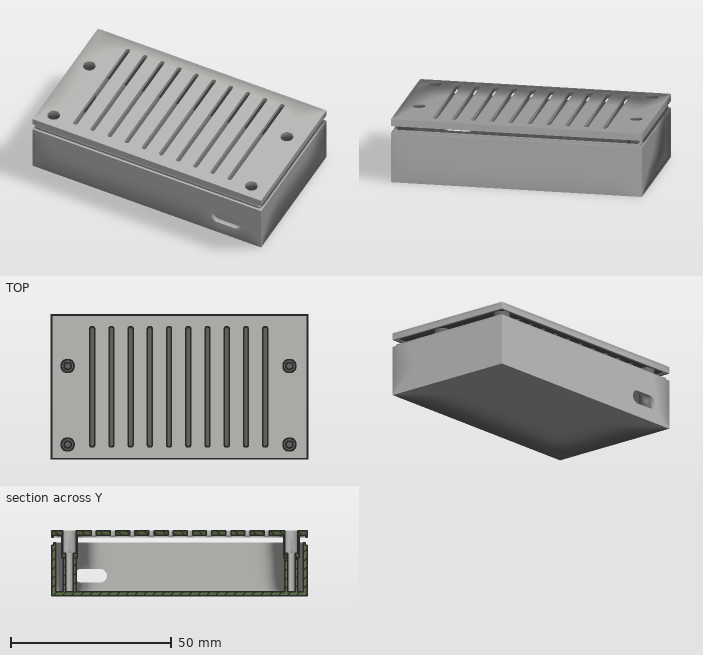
import cadquery as cq

LENGTH = 80.0
WIDTH = 45.0
TOTAL_HEIGHT = 20.5

WALL = 1.5
FLOOR = 1.5
BASE_HEIGHT = 16.0
LIP_HEIGHT = WALL / 2
LIP_INSET = WALL / 2

PORT_LENGTH = 10.2
PORT_HEIGHT = 4.2
PORT_X = 67.75
PORT_Z = 6.4

PLATE_THICKNESS = 1.5
LID_RIM_HEIGHT = LIP_HEIGHT
LID_THICKNESS = PLATE_THICKNESS + LID_RIM_HEIGHT
LID_BOTTOM = TOTAL_HEIGHT - LID_THICKNESS

SCREW_DIAMETER = 2.2
STAND_DIAMETER = 4.2
STAND_TOP = 12.0
POST_DIAMETER = 1.2 * STAND_DIAMETER
HEAD_DIAMETER = 4.0
HEAD_SEAT_THICKNESS = 1.5
POST_X = 5.1
POST_Y = 4.5
POST_SPACING_X = 69.2
POST_SPACING_Y = 24.5
POST_CENTRES = [
    (POST_X + column * POST_SPACING_X, POST_Y + row * POST_SPACING_Y)
    for column in range(2)
    for row in range(2)
]

VENT_COUNT = 10
VENT_PITCH = 6.0
VENT_WIDTH = 1.5
VENT_END_MARGIN = 3.75
VENT_LENGTH = WIDTH - 2 * VENT_END_MARGIN
VENT_FIRST_EDGE_X = 12.0


def inset_block(inset, bottom, top):
    """Block following the enclosure outline, moved inward by inset, from bottom to top."""
    return (
        cq.Workplane("XY", origin=(inset, inset, bottom))
        .rect(LENGTH - 2 * inset, WIDTH - 2 * inset, centered=False)
        .extrude(top - bottom)
    )


def post_cylinders(diameter, bottom, top):
    """One vertical cylinder at every screw position."""
    return (
        cq.Workplane("XY", origin=(0, 0, bottom))
        .pushPoints(POST_CENTRES)
        .circle(diameter / 2)
        .extrude(top - bottom)
    )


def make_base():
    lip_top = BASE_HEIGHT + LIP_HEIGHT
    tray = inset_block(0, 0, BASE_HEIGHT).union(inset_block(LIP_INSET, BASE_HEIGHT, lip_top))
    cavity = inset_block(WALL, FLOOR, lip_top)
    port = (
        cq.Workplane("XZ", origin=(PORT_X, 0, PORT_Z))
        .slot2D(PORT_LENGTH, PORT_HEIGHT)
        .extrude(-WALL)
    )
    stands = post_cylinders(STAND_DIAMETER, FLOOR, STAND_TOP)
    pilot_holes = post_cylinders(SCREW_DIAMETER, FLOOR, STAND_TOP)
    return tray.cut(cavity).cut(port).union(stands).cut(pilot_holes)


def make_vents():
    first_x = VENT_FIRST_EDGE_X + VENT_WIDTH / 2
    centres = [(first_x + index * VENT_PITCH, WIDTH / 2) for index in range(VENT_COUNT)]
    return (
        cq.Workplane("XY", origin=(0, 0, LID_BOTTOM))
        .pushPoints(centres)
        .slot2D(VENT_LENGTH, VENT_WIDTH, 90)
        .extrude(LID_THICKNESS)
    )


def make_lid():
    plate = inset_block(0, LID_BOTTOM, TOTAL_HEIGHT)
    recess = inset_block(LIP_INSET, LID_BOTTOM, LID_BOTTOM + LID_RIM_HEIGHT)
    posts = post_cylinders(POST_DIAMETER, STAND_TOP, TOTAL_HEIGHT)
    head_wells = post_cylinders(HEAD_DIAMETER, STAND_TOP + HEAD_SEAT_THICKNESS, TOTAL_HEIGHT)
    screw_holes = post_cylinders(SCREW_DIAMETER, STAND_TOP, TOTAL_HEIGHT)
    return plate.cut(recess).cut(make_vents()).union(posts).cut(head_wells).cut(screw_holes)


base = make_base()
lid = make_lid()
result = cq.Compound.makeCompound([base.val(), lid.val()])